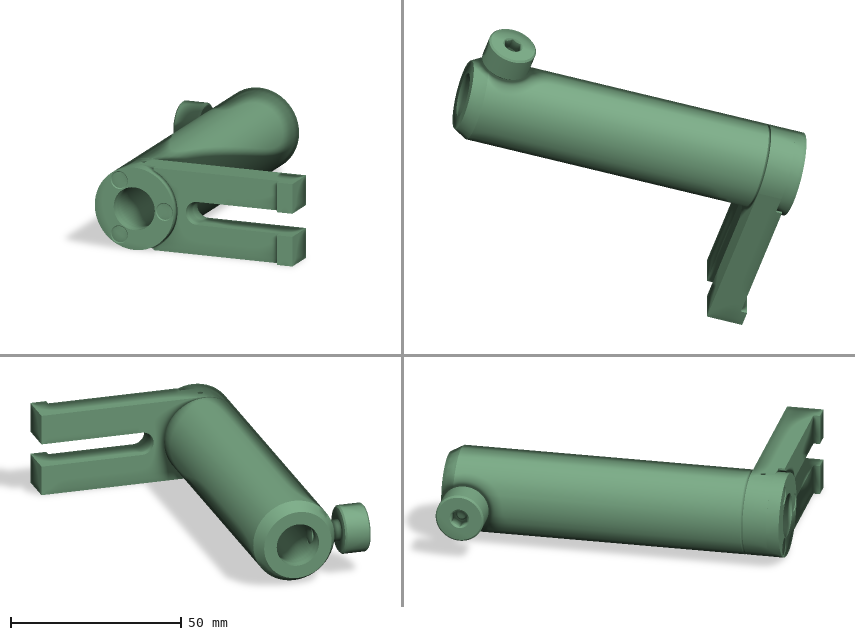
import cadquery as cq
import math

total_length = 101.7
barrel_radius = 12.5
bore_radius = 6.5

flange_thickness = 3.8
sleeve_radius = 8.6
fork_back = 10.9

magnet_count = 3
magnet_radius = 2.4
magnet_depth = 2
magnet_countersink = 0.25
magnet_circle_radius = (bore_radius + barrel_radius) / 2

tip_taper_length = 3.9
tip_taper_inset = 2.1
base_chamfer = 0.7

fork_front = 1.9
fork_end = 50.0
foot_length = 4.9
slot_width = 7.0
slot_start = 15.6
flange_pocket_radius = 12.9
arm_front_start = 5.3
lock_hole_radius = 0.8

screw_station = 93.6
knob_outer_end = -22.9
knob_length = 7.8
knob_radius = 7.2
knob_chamfer = 0.5
boss_length = 0.4
shank_radius = 3.2
socket_sides = 6
socket_width = 4.8
socket_depth = 3.6
socket_mouth_radius = 3.0
stud_radius = 1.7
stud_chamfer = 0.5
screw_protrusion = 0.5

knob_inner_end = knob_outer_end + knob_length
boss_end = knob_inner_end + boss_length
socket_floor = knob_outer_end + socket_depth


def rod_y(radius, start, end, x=0, z=0):
    """Cylinder along Y between two Y positions."""
    return cq.Workplane(cq.Solid.makeCylinder(radius, end - start, cq.Vector(x, start, z), cq.Vector(0, 1, 0)))


def rod_x(radius, start, end):
    """Cylinder along X on the thumbscrew axis between two X positions."""
    base = cq.Vector(start, screw_station, 0)
    return cq.Workplane(cq.Solid.makeCylinder(radius, end - start, base, cq.Vector(1, 0, 0)))


def make_post():
    """Bored post with a tapered far end and a cross hole for the thumbscrew."""
    profile = [
        (bore_radius, fork_back),
        (barrel_radius - base_chamfer, fork_back),
        (barrel_radius, fork_back + base_chamfer),
        (barrel_radius, total_length - tip_taper_length),
        (barrel_radius - tip_taper_inset, total_length),
        (bore_radius, total_length),
    ]
    post = cq.Workplane("XY").polyline(profile).close().revolve(360, (0, 0, 0), (0, 1, 0))
    return post.cut(rod_x(shank_radius, -barrel_radius, 0))


def magnet_places():
    """X and Z of each magnet, evenly spaced around the flange."""
    angles = [2 * math.pi * i / magnet_count for i in range(magnet_count)]
    return [(magnet_circle_radius * math.cos(a), magnet_circle_radius * math.sin(a)) for a in angles]


def make_flange():
    """Flange and sleeve in one piece, with countersunk magnet pockets in the front face."""
    flange = rod_y(barrel_radius, 0, flange_thickness)
    flange = flange.union(rod_y(sleeve_radius, flange_thickness, fork_back))
    flange = flange.cut(rod_y(bore_radius, 0, fork_back))
    for x, z in magnet_places():
        flange = flange.cut(rod_y(magnet_radius, 0, magnet_countersink + magnet_depth, x, z))
        countersink = cq.Solid.makeCone(
            magnet_radius + magnet_countersink, magnet_radius, magnet_countersink,
            cq.Vector(x, 0, z), cq.Vector(0, 1, 0),
        )
        flange = flange.cut(cq.Workplane(countersink))
    return flange


def make_magnet(x, z):
    """Magnet seated at the bottom of its countersunk pocket."""
    return rod_y(magnet_radius, magnet_countersink, magnet_countersink + magnet_depth, x, z)


def make_fork():
    """Ring around the sleeve with two parallel arms that end in forward feet."""
    side_outline = [
        (0, fork_back),
        (fork_end, fork_back),
        (fork_end, 0),
        (fork_end - foot_length, 0),
        (fork_end - foot_length, fork_front),
        (arm_front_start, fork_front),
        (arm_front_start, flange_thickness),
        (0, flange_thickness),
    ]
    arms = cq.Workplane("XY").polyline(side_outline).close().extrude(barrel_radius, both=True)
    arms = arms.cut(rod_y(flange_pocket_radius, 0, flange_thickness))
    fork = arms.union(rod_y(barrel_radius, flange_thickness, fork_back))
    fork = fork.cut(rod_y(sleeve_radius, 0, fork_back))

    slot_radius = slot_width / 2
    slot_centre = slot_start + slot_radius
    slot = cq.Workplane("XY").box(
        fork_end - slot_centre, fork_back, slot_width, centered=(False, False, True)
    ).translate((slot_centre, 0, 0))
    fork = fork.cut(slot).cut(rod_y(slot_radius, 0, fork_back, slot_centre))

    lock_station = (flange_thickness + fork_back) / 2
    lock_hole = cq.Workplane("XY").center(0, lock_station).circle(lock_hole_radius).extrude(barrel_radius)
    return fork.cut(lock_hole)


def make_knob():
    """Chamfered knob with a countersunk hex socket, a short boss and a hole for the stud."""
    knob = rod_x(knob_radius, knob_outer_end, knob_inner_end).edges().chamfer(knob_chamfer)
    knob = knob.union(rod_x(shank_radius, knob_inner_end, boss_end))

    across_corners = socket_width / math.cos(math.pi / socket_sides)
    socket = (
        cq.Workplane("YZ", origin=(knob_outer_end, screw_station, 0))
        .transformed(rotate=(0, 0, 180 / socket_sides))
        .polygon(socket_sides, across_corners)
        .extrude(socket_depth)
    )
    mouth_inner_radius = socket_width / 2
    mouth = cq.Solid.makeCone(
        socket_mouth_radius, mouth_inner_radius, socket_mouth_radius - mouth_inner_radius,
        cq.Vector(knob_outer_end, screw_station, 0), cq.Vector(1, 0, 0),
    )
    knob = knob.cut(socket).cut(cq.Workplane(mouth))
    return knob.cut(rod_x(stud_radius, socket_floor, boss_end))


def make_screw():
    """Screw whose stud passes through the knob and ends in a chamfer above the socket floor."""
    screw_tip = screw_protrusion - bore_radius
    stud = rod_x(stud_radius, socket_floor - stud_chamfer, boss_end).faces("<X").chamfer(stud_chamfer)
    return stud.union(rod_x(shank_radius, boss_end, screw_tip))


post = make_post()
flange = make_flange()
magnets = [make_magnet(x, z) for x, z in magnet_places()]
fork = make_fork()
knob = make_knob()
screw = make_screw()

result = cq.Compound.makeCompound([
    post.val(),
    flange.val(),
    *[magnet.val() for magnet in magnets],
    fork.val(),
    knob.val(),
    screw.val(),
])